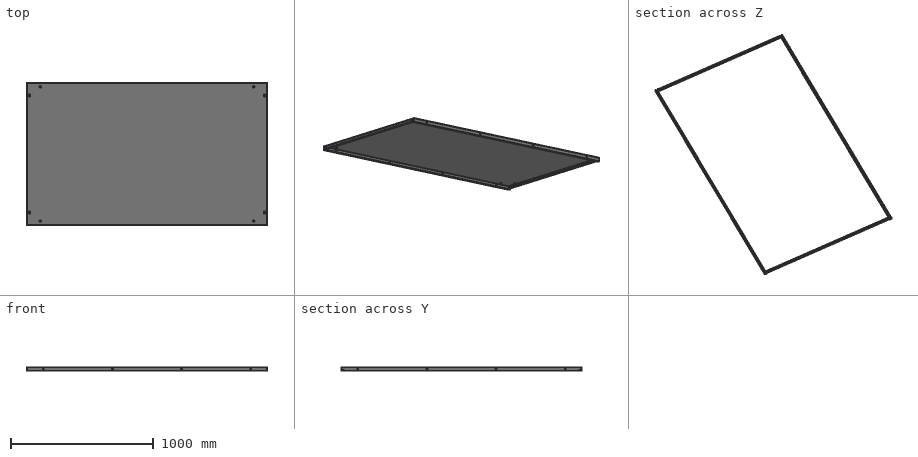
import cadquery as cq

length = 1685.0
width = 1000.0
height = 27.0
sheet = 2.2

side_lip = 14.3
end_height = 20.0
end_lip = 15.0
end_inset = 20.0
end_span = width - 2 * end_inset

square_hole_side = 12.0
square_hole_edge = 17.0
square_hole_corner = 90.0
round_hole_diameter = 9.3
round_hole_edge = 29.0
round_hole_corner = 95.0

wall_hole_diameter = 7.0
wall_hole_count = 4
wall_hole_pitch = 485.0
wall_hole_height = height / 2

slot_length = 22.0
slot_height = 13.0
slot_corner = 62.0
slot_drop = 12.0


def channel(span, depth, lip, run):
    """Lipped channel, open downward: span along X, run along Y, deck face at the full height."""
    outside = cq.Workplane("XY").box(span, run, depth)
    inside = cq.Workplane("XY").box(span - 2 * sheet, run, depth - 2 * sheet)
    mouth = cq.Workplane("XY").box(span - 2 * lip, run, depth / 2).translate((0, 0, -depth / 2))
    return outside.cut(inside).cut(mouth).translate((0, 0, height - depth / 2))


def deck_hole_centres(from_end, from_side):
    """Four points on the underside of the deck, one near each corner."""
    return (
        cq.Workplane("XY", origin=(0, 0, height - sheet))
        .rect(length - 2 * from_end, width - 2 * from_side, forConstruction=True)
        .vertices()
    )


def square_deck_holes():
    """Square holes through the deck beside the end walls."""
    centres = deck_hole_centres(square_hole_edge, square_hole_corner)
    return centres.rect(square_hole_side, square_hole_side).extrude(sheet)


def round_deck_holes():
    """Round holes through the deck beside the long walls."""
    centres = deck_hole_centres(round_hole_corner, round_hole_edge)
    return centres.circle(round_hole_diameter / 2).extrude(sheet)


def wall_holes():
    """Row of holes through both long walls."""
    return (
        cq.Workplane("XZ", origin=(0, 0, wall_hole_height))
        .rarray(wall_hole_pitch, 17, wall_hole_count, 1)
        .circle(wall_hole_diameter / 2)
        .extrude(width / 2, both=True)
    )


def end_slots():
    """Two slots through the -X end wall, one near each corner."""
    return (
        cq.Workplane("YZ", origin=(-length / 2, 0, height - slot_drop))
        .rarray(width - 2 * slot_corner, 17, 2, 1)
        .rect(slot_length, slot_height)
        .extrude(sheet)
    )


side_folds = channel(width, height, side_lip, length).rotate((0, 0, 0), (0, 0, 1), 90)
end_folds = channel(length, end_height, end_lip, end_span)
result = side_folds.union(end_folds)
for openings in (square_deck_holes(), round_deck_holes(), wall_holes(), end_slots()):
    result = result.cut(openings)